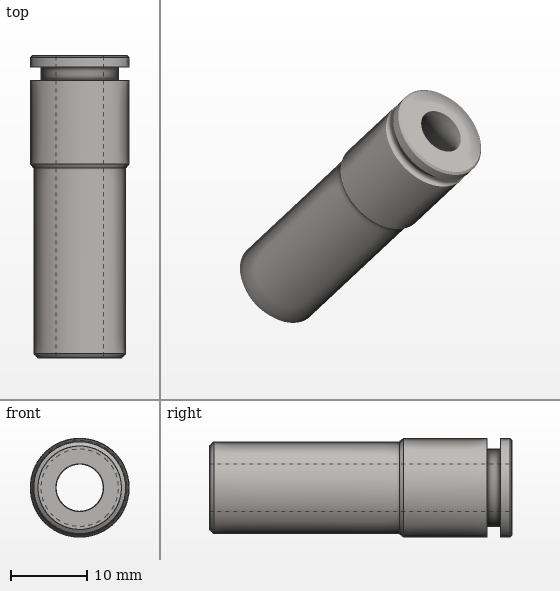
import cadquery as cq

total_length = 39.75
stem_length = 24.95
body_end = 36.5
collar_start = 38.25

body_diameter = 13.0
body_radius = body_diameter / 2
stem_radius = 6.05
neck_radius = 5.1
bore_radius = 3.1

tip_chamfer = 0.55
shoulder_chamfer_length = 0.55
collar_chamfer = 0.28

half_section = [
    (bore_radius, 0),
    (stem_radius - tip_chamfer, 0),
    (stem_radius, tip_chamfer),
    (stem_radius, stem_length),
    (body_radius, stem_length + shoulder_chamfer_length),
    (body_radius, body_end),
    (neck_radius, body_end),
    (neck_radius, collar_start),
    (body_radius, collar_start),
    (body_radius, total_length - collar_chamfer),
    (body_radius - collar_chamfer, total_length),
    (bore_radius, total_length),
]

result = (
    cq.Workplane("XY")
    .polyline(half_section)
    .close()
    .revolve(360, (0, 0, 0), (0, 1, 0))
)